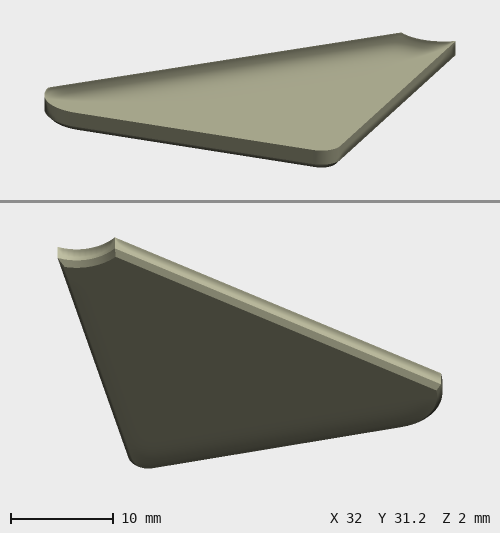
import cadquery as cq

length_x = 32.0
length_y = 31.25
thickness = 2.0
bottom_chamfer = 0.5

large_radius = 5.0
small_radius = 2.0
notch_depth = 0.93

tip_x = length_y - large_radius
notch_middle_x = (tip_x + length_x) / 2

plate = (
    cq.Workplane("XY")
    .moveTo(large_radius, 0)
    .lineTo(length_x - small_radius, 0)
    .radiusArc((length_x, small_radius), -small_radius)
    .lineTo(length_x, length_y)
    .threePointArc((notch_middle_x, length_y - notch_depth), (tip_x, length_y))
    .lineTo(0, large_radius)
    .radiusArc((large_radius, 0), -large_radius)
    .close()
    .extrude(thickness)
)

result = plate.faces("<Z").edges().chamfer(bottom_chamfer)